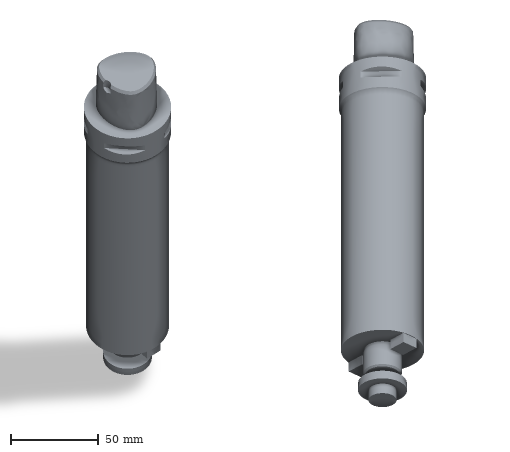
import cadquery as cq
import math

TOTAL_HEIGHT = 242.5
FLANGE_TOP_Z = 212.5
FLANGE_BOTTOM_Z = 192.3
FILLET_BOTTOM_Z = 189.5
BODY_BOTTOM_Z = 32.7
KEY_BOTTOM_Z = 26.7
SLEEVE_TOP_Z = 30.0
SLEEVE_BOTTOM_Z = 16.5
WASHER_TOP_Z = 11.5
WASHER_BOTTOM_Z = 6.3

FLANGE_DIAMETER = 50.0
BODY_DIAMETER = 47.5
RELIEF_DIAMETER = 21.3
SLEEVE_DIAMETER = 22.0
SCREW_DIAMETER = 10.0
WASHER_DIAMETER = 28.0
SCREW_HEAD_DIAMETER = 16.0
SLEEVE_CHAMFER = 1.0
SLEEVE_TOP_TAPER = 2.0

SHANK_BASE_DIAMETER = 35.2
LOBE_HEIGHT = 1.1
LOBE_POINT_COUNT = 36
TAPER = 1 / 40
SHANK_CHAMFER_HEIGHT = 1.7
SHANK_CHAMFER_INSET = 1.2

NOTCH_RADIUS = 3.5
NOTCH_AXIS_Y = -17.0
NOTCH_DEPTH = 5.8
NOTCH_TIP_HEIGHT = 2.2

GROOVE_COUNT = 4
GROOVE_Z = 202.5
GROOVE_FLOOR_DISTANCE = 22.0
GROOVE_FLOOR_HALF_HEIGHT = 2.0
GROOVE_MOUTH_HALF_HEIGHT = 3.5

KEY_WIDTH = 10.0
KEY_INNER_X = 12.0
KEY_OUTER_X = 23.0
JOINT_OVERLAP = 0.2


def make_turned_body():
    """Revolve the flange, body, sleeve, screw and washer as one profile."""
    flange_radius = FLANGE_DIAMETER / 2
    body_radius = BODY_DIAMETER / 2
    relief_radius = RELIEF_DIAMETER / 2
    sleeve_radius = SLEEVE_DIAMETER / 2
    screw_radius = SCREW_DIAMETER / 2
    washer_radius = WASHER_DIAMETER / 2
    head_radius = SCREW_HEAD_DIAMETER / 2
    lower_profile = [
        (0, 0),
        (head_radius, 0),
        (head_radius, WASHER_BOTTOM_Z),
        (washer_radius, WASHER_BOTTOM_Z),
        (washer_radius, WASHER_TOP_Z),
        (screw_radius, WASHER_TOP_Z),
        (screw_radius, SLEEVE_BOTTOM_Z),
        (sleeve_radius - SLEEVE_CHAMFER, SLEEVE_BOTTOM_Z),
        (sleeve_radius, SLEEVE_BOTTOM_Z + SLEEVE_CHAMFER),
        (sleeve_radius, SLEEVE_TOP_Z),
        (relief_radius, SLEEVE_TOP_Z + SLEEVE_TOP_TAPER),
        (relief_radius, BODY_BOTTOM_Z),
        (body_radius, BODY_BOTTOM_Z),
        (body_radius, FILLET_BOTTOM_Z),
    ]
    return (
        cq.Workplane("XZ")
        .polyline(lower_profile)
        .tangentArcPoint((flange_radius, FLANGE_BOTTOM_Z), relative=False)
        .lineTo(flange_radius, FLANGE_TOP_Z)
        .lineTo(0, FLANGE_TOP_Z)
        .close()
        .revolve(360, (0, 0), (0, 1))
    )


def lobed_wire(radius, z):
    """Closed curve of constant width with three lobes, one of them toward +Y."""
    def point(turn):
        angle = 2 * math.pi * turn
        lobe_phase = 3 * (angle - math.pi / 2)
        reach = radius + LOBE_HEIGHT * math.cos(lobe_phase)
        slide = -3 * LOBE_HEIGHT * math.sin(lobe_phase)
        x = reach * math.cos(angle) - slide * math.sin(angle)
        y = reach * math.sin(angle) + slide * math.cos(angle)
        return cq.Vector(x, y, z)

    points = [point(index / LOBE_POINT_COUNT) for index in range(LOBE_POINT_COUNT)]
    return cq.Wire.assembleEdges([cq.Edge.makeSpline(points, periodic=True)])


def lobed_frustum(bottom_radius, bottom_z, top_radius, top_z):
    wires = [lobed_wire(bottom_radius, bottom_z), lobed_wire(top_radius, top_z)]
    return cq.Workplane(cq.Solid.makeLoft(wires, True))


def make_shank():
    """Stack the taper and the chamfered end."""
    shoulder_z = TOTAL_HEIGHT - SHANK_CHAMFER_HEIGHT
    base_radius = SHANK_BASE_DIAMETER / 2
    shoulder_radius = base_radius - TAPER * (shoulder_z - FLANGE_TOP_Z)
    end_radius = shoulder_radius - SHANK_CHAMFER_INSET
    taper = lobed_frustum(base_radius, FLANGE_TOP_Z, shoulder_radius, shoulder_z)
    end = lobed_frustum(shoulder_radius, shoulder_z, end_radius, TOTAL_HEIGHT)
    return taper.union(end)


def make_notch():
    """Blind drilling with a conical tip, centred on the -Y side of the shank."""
    floor_z = TOTAL_HEIGHT - NOTCH_DEPTH
    profile = [
        (0, floor_z - NOTCH_TIP_HEIGHT),
        (NOTCH_RADIUS, floor_z),
        (NOTCH_RADIUS, TOTAL_HEIGHT),
        (0, TOTAL_HEIGHT),
    ]
    drill = cq.Workplane("XZ").polyline(profile).close().revolve(360, (0, 0), (0, 1))
    return drill.translate((0, NOTCH_AXIS_Y, 0))


def make_groove(angle):
    """Straight groove with sloping walls, cut across the flange rim."""
    mouth_distance = FLANGE_DIAMETER / 2
    profile = [
        (GROOVE_FLOOR_DISTANCE, GROOVE_Z - GROOVE_FLOOR_HALF_HEIGHT),
        (mouth_distance, GROOVE_Z - GROOVE_MOUTH_HALF_HEIGHT),
        (mouth_distance, GROOVE_Z + GROOVE_MOUTH_HALF_HEIGHT),
        (GROOVE_FLOOR_DISTANCE, GROOVE_Z + GROOVE_FLOOR_HALF_HEIGHT),
    ]
    groove = cq.Workplane("XZ").polyline(profile).close().extrude(FLANGE_DIAMETER / 2, both=True)
    return groove.rotate((0, 0, 0), (0, 0, 1), angle)


def make_key(side):
    """Drive key on the +X (side = 1) or -X (side = -1) half of the body face."""
    length = KEY_OUTER_X - KEY_INNER_X
    height = BODY_BOTTOM_Z - KEY_BOTTOM_Z + JOINT_OVERLAP
    center_x = side * (KEY_INNER_X + KEY_OUTER_X) / 2
    key = cq.Workplane("XY").box(length, KEY_WIDTH, height, centered=(True, True, False))
    return key.translate((center_x, 0, KEY_BOTTOM_Z))


result = make_turned_body().union(make_shank()).cut(make_notch())
groove_step = 360 / GROOVE_COUNT
for index in range(GROOVE_COUNT):
    result = result.cut(make_groove((index + 0.5) * groove_step))
for side in (-1, 1):
    result = result.union(make_key(side))